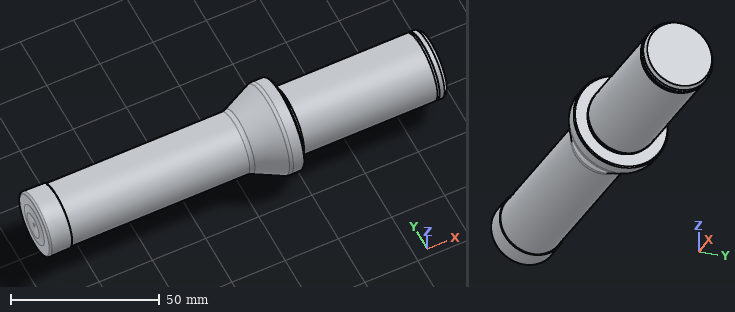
import cadquery as cq
import math

total_length = 150.0

head_length = 9.0
head_radius = 12.0
head_back_radius = 11.8
head_edge_radius = 0.8
face_set_back = 0.52
crown_outer_radius = 7.5
crown_ridge_radius = 4.6
dimple_depth = 0.5
dimple_floor_radius = 0.8

neck_radius = 23.0 / 2
flange_radius = 34.0 / 2
flange_back = 94.0
flange_rim_start = 88.8
flange_back_bevel = 0.5
cone_half_angle = 24.7
cone_foot_fillet = 4.2
cone_rim_fillet = 3.2

relief_radius = 24.5 / 2
relief_end = 95.0
shank_radius = 25.0 / 2
shank_lead_in = 0.9
shank_end_bevel_length = 1.4
shank_end_bevel_depth = 0.9

notch_wall = 146.8
notch_length = 0.9
notch_depth = 0.3


def revolve_about_x(profile):
    """Turn a closed (X, radius) profile around the X axis."""
    return profile.close().revolve(360, (0, 0, 0), (1, 0, 0))


def make_cutting_head():
    profile = (
        cq.Workplane("XY")
        .moveTo(dimple_depth, 0)
        .lineTo(dimple_depth, dimple_floor_radius)
        .lineTo(0, crown_ridge_radius)
        .lineTo(face_set_back, crown_outer_radius)
        .lineTo(face_set_back, head_radius - head_edge_radius)
        .radiusArc((face_set_back + head_edge_radius, head_radius), head_edge_radius)
        .lineTo(head_length, head_back_radius)
        .lineTo(head_length, 0)
    )
    return revolve_about_x(profile)


def make_holder():
    slope = math.radians(cone_half_angle)
    cone_length = (flange_radius - neck_radius) / math.tan(slope)
    cone_start = flange_rim_start - cone_length

    foot_tangent = cone_foot_fillet * math.tan(slope / 2)
    rim_tangent = cone_rim_fillet * math.tan(slope / 2)
    foot_end = (
        cone_start + foot_tangent * math.cos(slope),
        neck_radius + foot_tangent * math.sin(slope),
    )
    rim_begin = (
        flange_rim_start - rim_tangent * math.cos(slope),
        flange_radius - rim_tangent * math.sin(slope),
    )

    profile = (
        cq.Workplane("XY")
        .moveTo(head_length, 0)
        .lineTo(head_length, neck_radius)
        .lineTo(cone_start - foot_tangent, neck_radius)
        .radiusArc(foot_end, -cone_foot_fillet)
        .lineTo(*rim_begin)
        .radiusArc((flange_rim_start + rim_tangent, flange_radius), cone_rim_fillet)
        .lineTo(flange_back - flange_back_bevel, flange_radius)
        .lineTo(flange_back, flange_radius - flange_back_bevel)
        .lineTo(flange_back, relief_radius)
        .lineTo(relief_end, relief_radius)
        .lineTo(relief_end + shank_lead_in, shank_radius)
        .lineTo(notch_wall - notch_length, shank_radius)
        .lineTo(notch_wall, shank_radius - notch_depth)
        .lineTo(notch_wall, shank_radius)
        .lineTo(total_length - shank_end_bevel_length, shank_radius)
        .lineTo(total_length, shank_radius - shank_end_bevel_depth)
        .lineTo(total_length, 0)
    )
    return revolve_about_x(profile)


cutting_head = make_cutting_head()
holder = make_holder()

result = cq.Compound.makeCompound([cutting_head.val(), holder.val()])